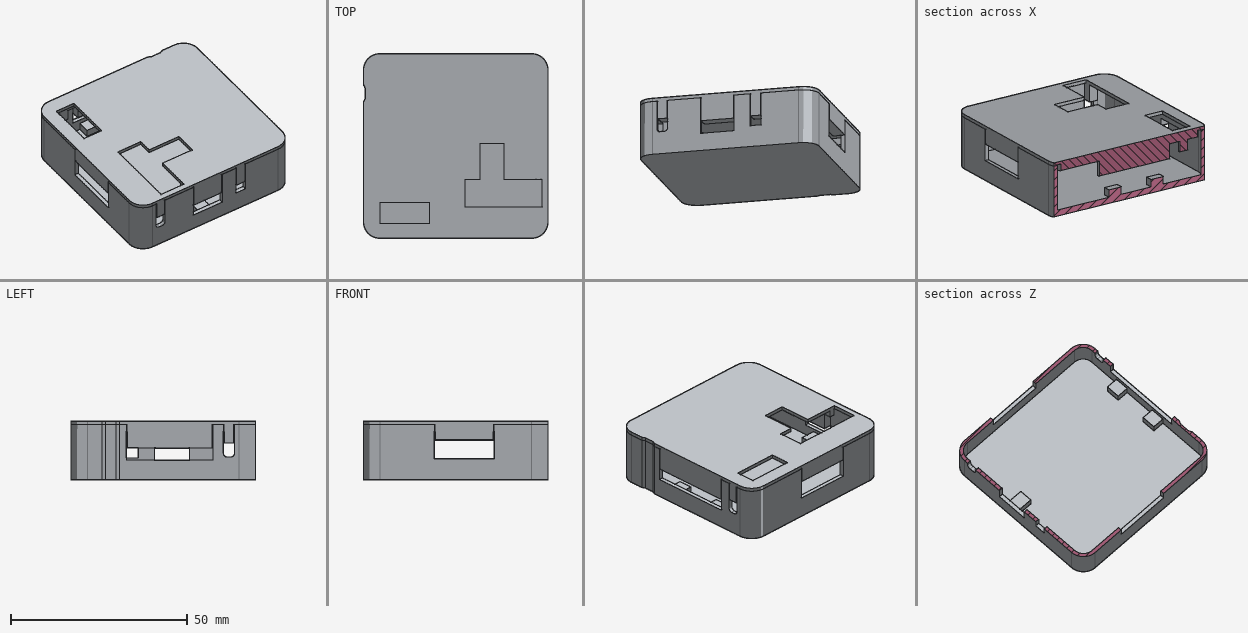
import cadquery as cq

SIDE = 52.4
HEIGHT = 16.6
CORNER_RADIUS = 4.7
LID_THICKNESS = 1.0
SEAM_Z = HEIGHT - LID_THICKNESS
WALL = 1.2
FLOOR = 2.0

GROOVE_CENTER_Y = 41.15
GROOVE_DEPTH = 0.45
GROOVE_OUTER_WIDTH = 5.0
GROOVE_INNER_WIDTH = 3.0

END_PORT_START, END_PORT_END, END_PORT_SILL = 20.2, 37.1, 6.0
PORTS = [
    ("-Y", END_PORT_START, END_PORT_END, END_PORT_SILL, 11.4),
    ("+Y", END_PORT_START, END_PORT_END, END_PORT_SILL, 11.1),
    ("-X", 12.15, 36.65, 5.55, 9.05),
    ("+X", 18.75, 28.65, 5.1, 8.8),
    ("+X", 33.35, 36.65, 6.2, 9.05),
]
TAB_CLEARANCE = 0.2

SLOT_WALLS = ("-X", "+X")
SLOT_START, SLOT_END = 6.0, 9.1
SLOT_BOTTOM = 6.5
SLOT_CORNER_RADIUS = 1.0
SLOT_TAB_BOTTOM = 10.4

LIP_OUTER_INSET = 2.0
LIP_INNER_INSET = 3.5
LIP_HEIGHT = 2.0

POST_TOP = 4.25
LEFT_POST_X = 4.8
LEFT_POST_WIDTH = 4.3
LEFT_POST_STARTS = (14.55, 28.85)
RIGHT_POST_X = 46.55
RIGHT_POST_START, RIGHT_POST_END = 21.5, 25.45

RECT_X, RECT_Y = (4.65, 18.7), (4.2, 10.15)
BAR_X, BAR_Y = (28.8, 50.65), (8.9, 16.7)
STEM_X, STEM_TOP_Y = (33.05, 39.9), 26.9


def box(x_range, y_range, z_range):
    """Block between the given coordinate pairs."""
    (x0, x1), (y0, y1), (z0, z1) = x_range, y_range, z_range
    return cq.Workplane("XY").box(x1 - x0, y1 - y0, z1 - z0, centered=False).translate((x0, y0, z0))


def rounded_block(inset, z0, z1):
    """Upright block with rounded corners, set in evenly from the outer sides."""
    size = SIDE - 2 * inset
    radius = CORNER_RADIUS - inset
    block = cq.Workplane("XY").workplane(offset=z0).center(SIDE / 2, SIDE / 2).rect(size, size)
    return block.extrude(z1 - z0).edges("|Z").fillet(radius)


def wall_block(wall, start, end, depth, z0, z1):
    """Block from start to end along a wall, reaching from its outer face inwards by depth."""
    across = (0, depth) if wall.startswith("-") else (SIDE - depth, SIDE)
    along = (start, end)
    if wall.endswith("X"):
        return box(across, along, (z0, z1))
    return box(along, across, (z0, z1))


def finger_groove():
    """Full-height cutter with a trapezoid section, deepest in the middle."""
    outer_half = GROOVE_OUTER_WIDTH / 2
    inner_half = GROOVE_INNER_WIDTH / 2
    section = [
        (0, GROOVE_CENTER_Y - outer_half),
        (GROOVE_DEPTH, GROOVE_CENTER_Y - inner_half),
        (GROOVE_DEPTH, GROOVE_CENTER_Y + inner_half),
        (0, GROOVE_CENTER_Y + outer_half),
    ]
    return cq.Workplane("XY").polyline(section).close().extrude(HEIGHT)


def slot(wall):
    """Upright slot cutter, rounded at its bottom corners."""
    cutter = wall_block(wall, SLOT_START, SLOT_END, WALL, SLOT_BOTTOM, SEAM_Z)
    return cutter.edges("|X and <Z").fillet(SLOT_CORNER_RADIUS)


def posts():
    """Support posts that stand on the floor."""
    heights = (FLOOR, POST_TOP)
    blocks = [box((RIGHT_POST_X, SIDE - WALL), (RIGHT_POST_START, RIGHT_POST_END), heights)]
    for start in LEFT_POST_STARTS:
        blocks.append(box((WALL, LEFT_POST_X), (start, start + LEFT_POST_WIDTH), heights))
    return blocks


def make_case():
    """Open box with posts on its floor and port notches in its walls."""
    case = rounded_block(0, 0, SEAM_Z).cut(rounded_block(WALL, FLOOR, SEAM_Z))
    case = case.cut(finger_groove())
    for post in posts():
        case = case.union(post)
    for wall, start, end, sill, _ in PORTS:
        case = case.cut(wall_block(wall, start, end, WALL, sill, SEAM_Z))
    for wall in SLOT_WALLS:
        case = case.cut(slot(wall))
    return case


def tab(wall, start, end, bottom):
    """Tab of the lid that fills the upper part of a port or slot."""
    return wall_block(
        wall, start + TAB_CLEARANCE, end - TAB_CLEARANCE, LIP_INNER_INSET, bottom, SEAM_Z
    )


def lid_openings():
    """Cutters for the openings, tall enough to pass through the lid and its lip."""
    heights = (SEAM_Z - LIP_HEIGHT, HEIGHT)
    rectangle = box(RECT_X, RECT_Y, heights)
    bar = box(BAR_X, BAR_Y, heights)
    stem = box(STEM_X, (BAR_Y[1], STEM_TOP_Y), heights)
    return [rectangle, bar, stem]


def make_lid():
    """Flat lid with a locating lip, port tabs and openings."""
    lip_bottom = SEAM_Z - LIP_HEIGHT
    lip = rounded_block(LIP_OUTER_INSET, lip_bottom, SEAM_Z)
    lip = lip.cut(rounded_block(LIP_INNER_INSET, lip_bottom, SEAM_Z))
    lid = rounded_block(0, SEAM_Z, HEIGHT).union(lip)
    for wall, start, end, _, tab_bottom in PORTS:
        lid = lid.union(tab(wall, start, end, tab_bottom))
    for wall in SLOT_WALLS:
        lid = lid.union(tab(wall, SLOT_START, SLOT_END, SLOT_TAB_BOTTOM))
    for opening in lid_openings():
        lid = lid.cut(opening)
    return lid.cut(finger_groove())


case = make_case()
lid = make_lid()

result = cq.Compound.makeCompound([case.val(), lid.val()])